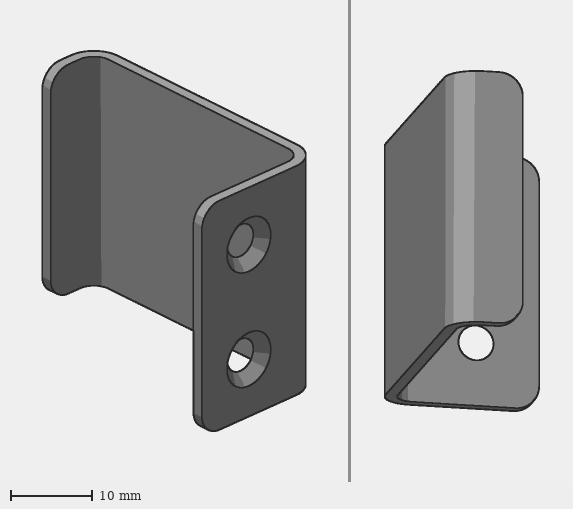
import cadquery as cq

width = 40.0
height = 32.0
long_flange = 20.0
short_flange = 9.0

thickness = 1.5
outer_bend_radius = 4.0
inner_bend_radius = outer_bend_radius - thickness
flange_corner_radius = 3.0

hole_diameter = 4.4
countersink_angle = 90.0
hole_from_back = 12.0
hole_spacing = 16.0

inner_width = width - 2 * thickness


def channel():
    """Bent sheet of even depth, with its back face on Y = 0 and open towards -Y."""
    outer = (
        cq.Workplane("XY")
        .box(width, long_flange, height)
        .translate((0, -long_flange / 2, 0))
        .edges("|Z and >Y")
        .fillet(outer_bend_radius)
    )
    inner = (
        cq.Workplane("XY")
        .box(inner_width, long_flange, height)
        .translate((0, -long_flange / 2 - thickness, 0))
        .edges("|Z and >Y")
        .fillet(inner_bend_radius)
    )
    return outer.cut(inner)


def shorten_left_flange(sheet):
    """Cut the -X flange back to its shorter length."""
    excess = (
        cq.Workplane("XY")
        .box(width / 2, long_flange - short_flange, height)
        .translate((-width / 2, -(long_flange + short_flange) / 2, 0))
    )
    return sheet.cut(excess)


def round_flange_corners(sheet):
    """Round the free corners of both flanges; the edges along X span the sheet thickness."""
    right_corners = sheet.faces("<Y").edges("|X")
    sheet = right_corners.fillet(flange_corner_radius)
    left_end_center = (-width / 2 + thickness / 2, -short_flange, 0)
    left_corners = sheet.faces(cq.selectors.NearestToPointSelector(left_end_center)).edges("|X")
    return left_corners.fillet(flange_corner_radius)


def cut_countersunk_holes(sheet):
    """Cut the +X flange holes, each a cone widening through the full sheet to the outer face."""
    hole_points = [(-hole_from_back, z) for z in (-hole_spacing / 2, hole_spacing / 2)]
    cones = (
        cq.Workplane("YZ", origin=(inner_width / 2, 0, 0))
        .pushPoints(hole_points)
        .circle(hole_diameter / 2)
        .extrude(thickness, taper=-countersink_angle / 2)
    )
    return sheet.cut(cones)


bracket = round_flange_corners(shorten_left_flange(channel()))
result = cut_countersunk_holes(bracket)